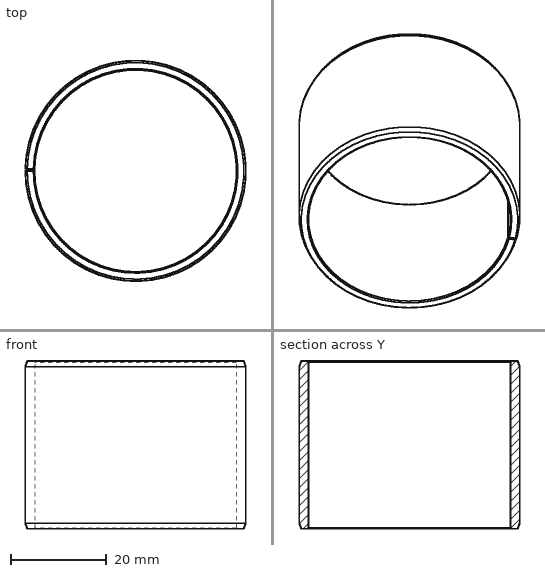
import cadquery as cq
import math

outer_diameter = 46.0
wall = 2.0
height = 35.0
outer_chamfer_height = 1.2
outer_chamfer_angle = 20.0
inner_chamfer = 0.28
slit_angle = 1.0

outer_radius = outer_diameter / 2
inner_radius = outer_radius - wall
outer_chamfer_depth = outer_chamfer_height * math.tan(math.radians(outer_chamfer_angle))
end_outer_radius = outer_radius - outer_chamfer_depth
end_inner_radius = inner_radius + inner_chamfer


def make_bush():
    """Revolve the wall section about Z from the -X axis, stopping short to leave the slit."""
    section = [
        (end_inner_radius, 0),
        (end_outer_radius, 0),
        (outer_radius, outer_chamfer_height),
        (outer_radius, height - outer_chamfer_height),
        (end_outer_radius, height),
        (end_inner_radius, height),
        (inner_radius, height - inner_chamfer),
        (inner_radius, inner_chamfer),
    ]
    section_points = [(-radius, z) for radius, z in section]
    return (
        cq.Workplane("XZ")
        .polyline(section_points)
        .close()
        .revolve(360 - slit_angle, (0, 0, 0), (0, 1, 0))
    )


result = make_bush()